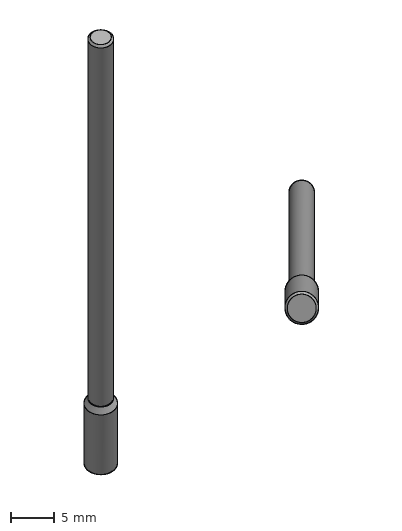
import cadquery as cq

total_length = 70.0
rod_radius = 3.0 / 2
base_radius = 3.9 / 2

base_length = 10.9
base_taper_height = 0.85
base_taper_width = 0.55
base_bottom_chamfer = 0.3

rod_chamfer = 0.3


def revolve_profile(points):
    """Solid of revolution about Z from (radius, height) points."""
    return cq.Workplane("XZ").polyline(points).close().revolve(360, (0, 0), (0, 1))


def make_base():
    """Base cylinder with a bottom chamfer and a tapered shoulder."""
    return revolve_profile([
        (0, 0),
        (base_radius - base_bottom_chamfer, 0),
        (base_radius, base_bottom_chamfer),
        (base_radius, base_length - base_taper_height),
        (base_radius - base_taper_width, base_length),
        (0, base_length),
    ])


def make_rod():
    """Plain rod from the top of the base to the chamfered free end."""
    return revolve_profile([
        (0, base_length),
        (rod_radius, base_length),
        (rod_radius, total_length - rod_chamfer),
        (rod_radius - rod_chamfer, total_length),
        (0, total_length),
    ])


base = make_base()
rod = make_rod()

result = cq.Compound.makeCompound([base.val(), rod.val()])